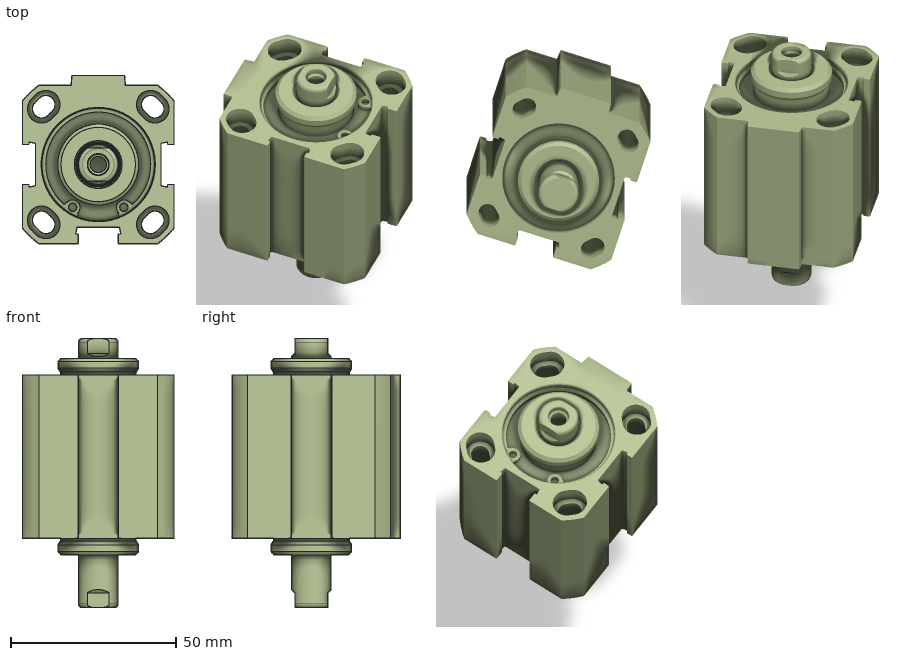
import cadquery as cq
import math


barrel_height = 49.5
barrel_width = 46.0
barrel_depth = 48.0
corner_radius = 30.0
rib_height = 3.0
rib_base_width = 16.5
rib_top_width = 16.0

slot_half_mouth = 6.0
slot_half_undercut = 6.75
slot_half_undercut_foot = 6.45
slot_undercut_height = 1.95
slot_edge_bevel = 0.2
side_slot_depth = 4.0
front_slot_depth = 5.0

hole_middle_x = 16.5
hole_middle_y = 17.5
hole_axis_shift = 1.3
mount_hole_diameter = 5.5
counterbore_diameter = 8.57
counterbore_depth = 5.7

bore_diameter = 32.0
seat_diameter = 34.1
seat_chamfer = 0.25
seat_depth = 13.5
cover_recess = 3.6

collar_diameter = 24.5
collar_waist_diameter = 23.0
collar_height = 5.0
collar_chamfer = 1.0
collar_rim_height = 2.0
collar_undercut_height = 1.2
collar_foot_fillet = 0.5
wiper_mouth_diameter = 14.5
wiper_bore_diameter = 13.7
wiper_mouth_depth = 0.4
wiper_depth = 1.2
wiper_lip_outer_diameter = 13.1
wiper_lip_diameter = 12.54
wiper_lip_bevel = 0.3
wiper_lip_depth = 0.6

rod_diameter = 12.0
rod_top_extension = 6.0
rod_bottom_extension = 16.0
rod_end_fillet = 1.2
flat_across = 10.0
flat_length = 4.5
thread_diameter = 4.92
thread_depth = 12.0
thread_relief_diameter = 6.25
thread_relief_depth = 1.9
thread_relief_chamfer = 0.2
relief_cone_angle = 120.0
floor_cone_angle = 165.0

ring_groove_diameter = 35.8
ring_inner_diameter = 31.8
ring_thickness = 1.6
ring_end_angle = 22.0
lug_radius = 2.25
lug_hole_diameter = 2.5
lug_x = 7.75
lug_y = -12.95
lug_web_end_angle = 40.7
lug_web_slope = 31.5

rod_top = barrel_height + collar_height + rod_top_extension
rod_bottom = -collar_height - rod_bottom_extension
ring_bottom = barrel_height - cover_recess
mid_height = barrel_height / 2


def cone_height(large_diameter, small_diameter, point_angle):
    """Height of a cone with the given point angle between two diameters."""
    return (large_diameter - small_diameter) / 2 / math.tan(math.radians(point_angle / 2))


def cylinder(diameter, bottom, height):
    return cq.Workplane("XY").workplane(offset=bottom).circle(diameter / 2).extrude(height)


def countersink(diameter, top, chamfer):
    """Cone that bevels the upper rim of a hole at 45 degrees."""
    return (
        cq.Workplane("XY")
        .workplane(offset=top - chamfer)
        .circle(diameter / 2)
        .workplane(offset=chamfer)
        .circle(diameter / 2 + chamfer)
        .loft()
    )


def sensor_slot(face_distance, depth, angle):
    """Undercut slot cut into the -Y face, then turned about Z to its own face."""
    floor = face_distance - depth
    step = floor + slot_undercut_height
    half = [
        (slot_half_mouth + slot_edge_bevel, -face_distance),
        (slot_half_mouth, -face_distance + slot_edge_bevel),
        (slot_half_mouth, -step - slot_edge_bevel),
        (slot_half_mouth + slot_edge_bevel, -step),
        (slot_half_undercut, -step),
        (slot_half_undercut_foot, -floor - slot_edge_bevel),
        (slot_half_undercut_foot - slot_edge_bevel, -floor),
    ]
    mirrored = [(-x, y) for x, y in reversed(half)]
    slot = cq.Workplane("XY").polyline(half + mirrored).close().extrude(barrel_height)
    return slot.rotate((0, 0, 0), (0, 0, 1), angle)


def stretched_holes(diameter, bottom, height):
    """One hole at each corner, elongated across the corner's diagonal."""
    length = diameter + hole_axis_shift * math.sqrt(2)
    holes = cq.Workplane("XY")
    for side_x in (-1, 1):
        for side_y in (-1, 1):
            hole = (
                cq.Workplane("XY")
                .workplane(offset=bottom)
                .center(side_x * hole_middle_x, side_y * hole_middle_y)
                .slot2D(length, diameter, -45 * side_x * side_y)
                .extrude(height)
            )
            holes = holes.add(hole)
    return holes


def make_barrel():
    body = cq.Workplane("XY").rect(barrel_width, barrel_depth).extrude(barrel_height)
    body = body.intersect(cylinder(2 * corner_radius, 0, barrel_height))

    back = barrel_depth / 2
    rib = (
        cq.Workplane("XY")
        .polyline([
            (-rib_base_width / 2, 0),
            (-rib_base_width / 2, back),
            (-rib_top_width / 2, back + rib_height),
            (rib_top_width / 2, back + rib_height),
            (rib_base_width / 2, back),
            (rib_base_width / 2, 0),
        ])
        .close()
        .extrude(barrel_height)
    )
    body = body.union(rib)

    body = body.cut(sensor_slot(barrel_depth / 2, front_slot_depth, 0))
    for angle in (90, -90):
        body = body.cut(sensor_slot(barrel_width / 2, side_slot_depth, angle))

    for hole in stretched_holes(mount_hole_diameter, 0, barrel_height).vals():
        body = body.cut(cq.Workplane(hole))
    counterbore_floor = barrel_height - counterbore_depth
    for hole in stretched_holes(counterbore_diameter, counterbore_floor, counterbore_depth).vals():
        body = body.cut(cq.Workplane(hole))

    body = body.cut(cylinder(bore_diameter, 0, barrel_height))
    body = body.cut(cylinder(seat_diameter, 0, seat_depth))
    body = body.cut(cylinder(seat_diameter, barrel_height - seat_depth, seat_depth))
    body = body.cut(countersink(seat_diameter, barrel_height, seat_chamfer))
    return body.cut(cylinder(ring_groove_diameter, ring_bottom, ring_thickness))


def make_top_cover():
    """Flange seated in the barrel with a collar that stands out around the rod."""
    flange_bottom = barrel_height - seat_depth
    flange_top = barrel_height - cover_recess
    top = barrel_height + collar_height
    rim_top = top - collar_chamfer
    rim_bottom = rim_top - collar_rim_height
    waist_top = rim_bottom - collar_undercut_height
    wiper_floor = top - wiper_depth
    lip_floor = wiper_floor - wiper_lip_depth
    foot_radius = collar_waist_diameter / 2 + collar_foot_fillet
    fillet_bend = collar_foot_fillet * (1 - math.sqrt(0.5))
    fillet_mid = (collar_waist_diameter / 2 + fillet_bend, flange_top + fillet_bend)
    return (
        cq.Workplane("XZ")
        .moveTo(rod_diameter / 2, flange_bottom)
        .lineTo(seat_diameter / 2, flange_bottom)
        .lineTo(seat_diameter / 2, flange_top)
        .lineTo(foot_radius, flange_top)
        .threePointArc(fillet_mid, (collar_waist_diameter / 2, flange_top + collar_foot_fillet))
        .lineTo(collar_waist_diameter / 2, waist_top)
        .lineTo(collar_diameter / 2, rim_bottom)
        .lineTo(collar_diameter / 2, rim_top)
        .lineTo(collar_diameter / 2 - collar_chamfer, top)
        .lineTo(wiper_mouth_diameter / 2, top)
        .lineTo(wiper_bore_diameter / 2, top - wiper_mouth_depth)
        .lineTo(wiper_bore_diameter / 2, wiper_floor)
        .lineTo(wiper_lip_outer_diameter / 2, wiper_floor)
        .lineTo(wiper_lip_diameter / 2, wiper_floor - wiper_lip_bevel)
        .lineTo(wiper_lip_diameter / 2, lip_floor)
        .lineTo(rod_diameter / 2, lip_floor)
        .close()
        .revolve(360, (0, 0, 0), (0, 1, 0))
    )


def make_rod():
    rod = cylinder(rod_diameter, rod_bottom, rod_top - rod_bottom)
    rod = rod.faces("<Z or >Z").edges().fillet(rod_end_fillet)

    flat_depth = (rod_diameter - flat_across) / 2
    for end, inward in ((rod_top, -1), (rod_bottom, 1)):
        for side in (-1, 1):
            flat = (
                cq.Workplane("YZ")
                .polyline([
                    (side * flat_across / 2, end),
                    (side * flat_across / 2, end + inward * flat_length),
                    (side * rod_diameter / 2, end + inward * (flat_length + flat_depth)),
                    (side * rod_diameter / 2, end),
                ])
                .close()
                .extrude(rod_diameter / 2, both=True)
            )
            rod = rod.cut(flat)

    relief_floor = rod_top - thread_relief_depth
    thread_top = relief_floor - cone_height(thread_relief_diameter, thread_diameter, relief_cone_angle)
    thread_floor = rod_top - thread_depth
    bore = (
        cq.Workplane("XZ")
        .polyline([
            (0, rod_top),
            (thread_relief_diameter / 2, rod_top),
            (thread_relief_diameter / 2, relief_floor),
            (thread_diameter / 2, thread_top),
            (thread_diameter / 2, thread_floor),
            (0, thread_floor - cone_height(thread_diameter, 0, floor_cone_angle)),
        ])
        .close()
        .revolve(360, (0, 0, 0), (0, 1, 0))
    )
    rod = rod.cut(bore)
    return rod.cut(countersink(thread_relief_diameter, rod_top, thread_relief_chamfer))


def make_snap_ring():
    """C-shaped ring, open toward -Y, with a drilled lug at each end."""
    ring = cylinder(ring_groove_diameter, ring_bottom, ring_thickness)
    ring = ring.cut(cylinder(ring_inner_diameter, ring_bottom, ring_thickness))
    gap_length = ring_groove_diameter
    gap_half_width = gap_length * math.tan(math.radians(ring_end_angle))
    lugs = [(-lug_x, lug_y), (lug_x, lug_y)]
    base = cq.Workplane("XY").workplane(offset=ring_bottom)
    gap = (
        base.polyline([(0, 0), (-gap_half_width, -gap_length), (gap_half_width, -gap_length)])
        .close()
        .extrude(ring_thickness)
    )
    ring = ring.cut(gap)
    ring = ring.union(base.pushPoints(lugs).circle(lug_radius).extrude(ring_thickness))

    web_angle = math.radians(lug_web_end_angle)
    web_slope = math.radians(lug_web_slope)
    tangent_x = lug_x + lug_radius * math.sin(web_slope)
    tangent_y = lug_y + lug_radius * math.cos(web_slope)
    web_radius = ring_inner_diameter / 2
    ring_mid_radius = (ring_inner_diameter + ring_groove_diameter) / 4
    for side in (-1, 1):
        web = (
            base.polyline([
                (side * lug_x, lug_y),
                (side * tangent_x, tangent_y),
                (side * web_radius * math.sin(web_angle), -web_radius * math.cos(web_angle)),
                (side * ring_mid_radius * math.sin(web_angle), -ring_mid_radius * math.cos(web_angle)),
            ])
            .close()
            .extrude(ring_thickness)
        )
        ring = ring.union(web)
    return ring.cut(base.pushPoints(lugs).circle(lug_hole_diameter / 2).extrude(ring_thickness))


barrel = make_barrel()
top_cover = make_top_cover()
bottom_cover = top_cover.mirror("XY", (0, 0, mid_height))
rod = make_rod()
snap_ring = make_snap_ring()

result = cq.Compound.makeCompound([
    barrel.val(),
    top_cover.val(),
    bottom_cover.val(),
    rod.val(),
    snap_ring.val(),
])